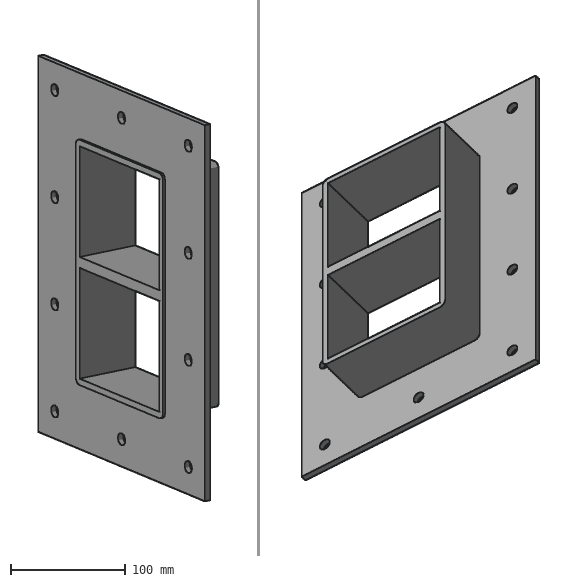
import cadquery as cq

plate_width = 252.5
plate_height = 344.0
plate_thickness = 6.0

sleeve_width = 132.0
sleeve_height = 224.3
sleeve_depth = 60.0
sleeve_corner_radius = 6.0
wall = 6.0
front_lip = 2.25

divider_thickness = 10.0
window_width = sleeve_width - 2 * wall
window_height = (sleeve_height - 2 * wall - divider_thickness) / 2
window_offset = (window_height + divider_thickness) / 2

hole_diameter = 10.5
hole_margin = 25.0
hole_columns = 3
hole_rows = 4
column_pitch = (plate_width - 2 * hole_margin) / (hole_columns - 1)
row_pitch = (plate_height - 2 * hole_margin) / (hole_rows - 1)


def block(width, height, front, depth):
    """Centred block whose front face is at Y = front and which runs towards +Y."""
    return cq.Workplane("XZ", origin=(0, front, 0)).rect(width, height).extrude(-depth)


def border_hole_centers():
    """Hole grid positions that lie on the outer rows and columns."""
    centers = []
    for column in range(hole_columns):
        for row in range(hole_rows):
            if column in (0, hole_columns - 1) or row in (0, hole_rows - 1):
                x = -plate_width / 2 + hole_margin + column * column_pitch
                z = -plate_height / 2 + hole_margin + row * row_pitch
                centers.append((x, z))
    return centers


plate = block(plate_width, plate_height, front_lip, plate_thickness)
bolt_holes = (
    cq.Workplane("XZ", origin=(0, front_lip, 0))
    .pushPoints(border_hole_centers())
    .circle(hole_diameter / 2)
    .extrude(-plate_thickness)
)
sleeve = block(sleeve_width, sleeve_height, 0, sleeve_depth).edges("|Y").fillet(sleeve_corner_radius)
window = block(window_width, window_height, 0, sleeve_depth)

result = plate.cut(bolt_holes).union(sleeve)
for side in (-1, 1):
    result = result.cut(window.translate((0, 0, side * window_offset)))